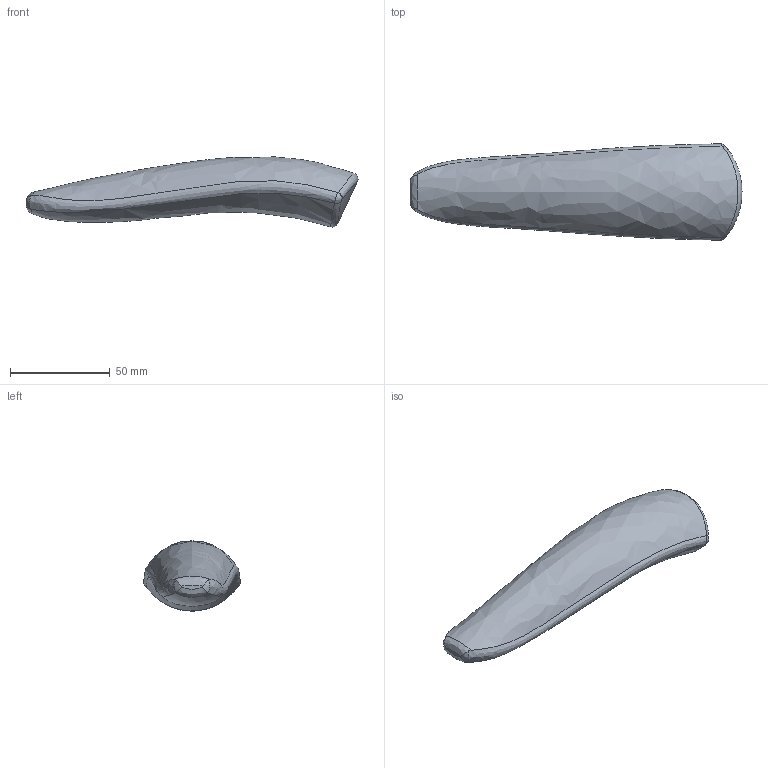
import cadquery as cq
import math

STATIONS = [
    (0.0, 7.4, 17.0, 16.0, 9.5, 8.5),
    (6.5, 11.6, 18.3, 16.0, 8.5, 5.5),
    (25.0, 16.2, 22.7, 13.5, 7.5, 2.7),
    (53.0, 18.4, 28.2, 15.2, 9.7, 3.2),
    (86.0, 20.8, 33.3, 20.4, 14.3, 6.4),
    (119.0, 23.0, 35.5, 23.5, 17.3, 7.0),
    (147.0, 24.0, 32.3, 20.0, 14.0, 1.9),
    (165.0, 24.6, 26.9, 14.7, 9.0, -3.6),
    (172.0, 24.7, 24.4, 12.0, 6.3, -5.5),
]
SIDE_BULGE = 1.4

END_TIP_X = 167.0
END_TIP_Z = 25.0
END_LEAN = 25.0
END_RADIUS = 74.0
END_REACH = 100.0
TRIM_BOX = 400.0

NOSE_FILLET = 4.5
END_FILLET = 3.0


def cross_section(station):
    """Closed lens-shaped wire with arched crown and belly and rounded sides."""
    x, half_width, crown, upper, lower, belly = station
    shoulder = half_width - SIDE_BULGE
    middle = (upper + lower) / 2
    outline = (
        cq.Workplane("YZ", origin=(x, 0, 0))
        .moveTo(-shoulder, upper)
        .threePointArc((0, crown), (shoulder, upper))
        .threePointArc((half_width, middle), (shoulder, lower))
        .threePointArc((0, belly), (-shoulder, lower))
        .threePointArc((-half_width, middle), (-shoulder, upper))
        .close()
    )
    return outline.val()


def handle_body():
    """Smooth loft through all cross-sections."""
    return cq.Workplane(cq.Solid.makeLoft([cross_section(station) for station in STATIONS]))


def end_cylinder():
    """Leaning cylinder whose +X side forms the wide end face."""
    lean = math.radians(END_LEAN)
    axis = cq.Vector(math.sin(lean), 0, math.cos(lean))
    inward = cq.Vector(-math.cos(lean), 0, math.sin(lean))
    tip = cq.Vector(END_TIP_X, 0, END_TIP_Z)
    base = tip + inward * END_RADIUS - axis * END_REACH
    plane = cq.Plane(origin=base.toTuple(), xDir=inward.toTuple(), normal=axis.toTuple())
    return cq.Workplane(plane).circle(END_RADIUS).extrude(2 * END_REACH)


def trim_end(body):
    """Remove everything beyond the leaning cylinder at the wide end."""
    middle_x = END_TIP_X / 2
    half_space = cq.Workplane("XY").box(TRIM_BOX, TRIM_BOX, TRIM_BOX)
    nose_half = half_space.translate((middle_x - TRIM_BOX / 2, 0, 0))
    return body.cut(body.cut(nose_half).cut(end_cylinder()))


body = trim_end(handle_body())
body = body.faces(">X").edges().fillet(END_FILLET)
result = body.faces("<X").edges().fillet(NOSE_FILLET)